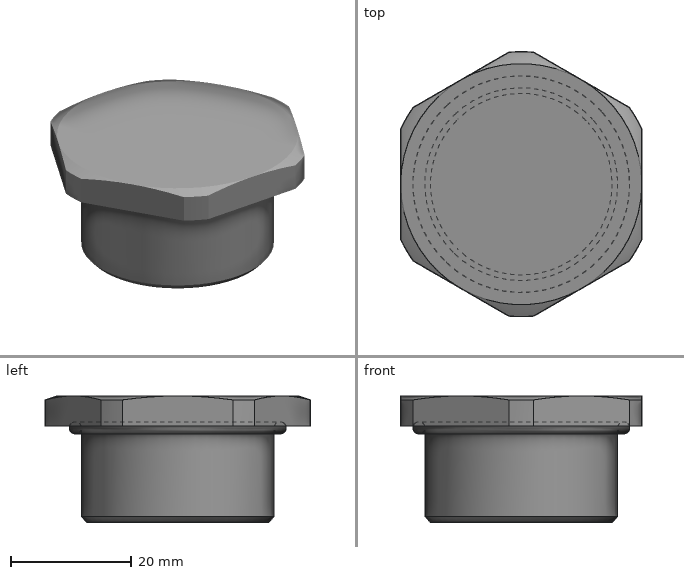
import cadquery as cq
import math

head_diameter = 44.0
across_flats = 40.0
head_height = 5.0
head_chamfer_height = 0.65
total_height = 21.0
shank_diameter = 32.0
tip_chamfer_radial = 0.92
tip_chamfer_height = 1.0
seal_diameter = 36.0
seal_protrusion = 1.28

head_radius = head_diameter / 2
shank_radius = shank_diameter / 2
seal_tube_radius = (seal_diameter - shank_diameter) / 4
seal_center_radius = shank_radius + seal_tube_radius
seal_center_drop = seal_protrusion - seal_tube_radius
seal_center_z = -head_height - seal_center_drop
seat_edge_radius = seal_center_radius + math.sqrt(seal_tube_radius**2 - seal_center_drop**2)


def make_plug():
    """Turned shank and head with a round seal seat, trimmed to a hexagon."""
    turned = (
        cq.Workplane("XZ")
        .moveTo(0, 0)
        .lineTo(0, -total_height)
        .lineTo(shank_radius - tip_chamfer_radial, -total_height)
        .lineTo(shank_radius, -total_height + tip_chamfer_height)
        .lineTo(shank_radius, seal_center_z)
        .threePointArc(
            (seal_center_radius, seal_center_z + seal_tube_radius),
            (seat_edge_radius, -head_height),
        )
        .lineTo(head_radius, -head_height)
        .lineTo(head_radius, -head_chamfer_height)
        .lineTo(across_flats / 2, 0)
        .close()
        .revolve(360, (0, 0, 0), (0, 1, 0))
    )
    across_corners = across_flats / math.cos(math.pi / 6)
    hexagon = (
        cq.Workplane("XY")
        .transformed(rotate=(0, 0, 90))
        .polygon(6, across_corners)
        .extrude(-total_height)
    )
    return turned.intersect(hexagon).solids()


def make_seal():
    """Round-section sealing ring around the shank, partly sunk in the head."""
    return (
        cq.Workplane("XZ")
        .center(seal_center_radius, seal_center_z)
        .circle(seal_tube_radius)
        .revolve(360, (-seal_center_radius, 0, 0), (-seal_center_radius, 1, 0))
    )


plug = make_plug()
seal = make_seal()
result = cq.Compound.makeCompound([plug.val(), seal.val()])